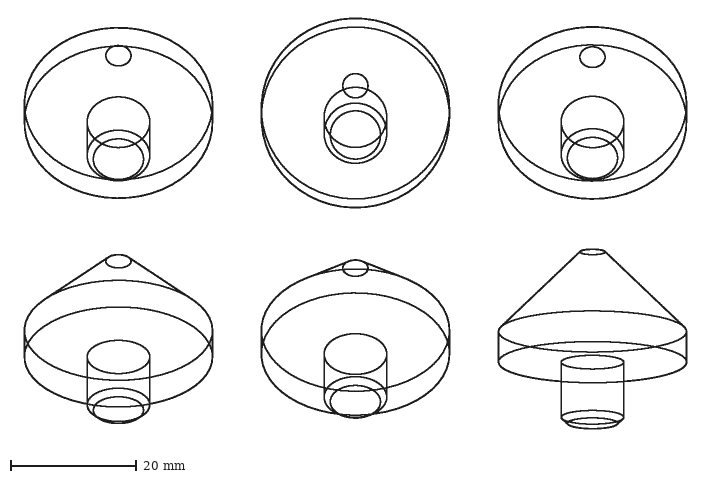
import cadquery as cq

disc_diameter = 30.0
disc_thickness = 5.0
cone_height = 13.0
pin_diameter = 10.0
pin_length = 10.0
pin_chamfer = 1.0

disc_radius = disc_diameter / 2
tip_radius = disc_radius - cone_height


def make_head():
    """Disc with a truncated cone on top; the disc underside lies at Z = 0."""
    tip_z = disc_thickness + cone_height
    half_profile = (
        cq.Workplane("XZ")
        .moveTo(0, 0)
        .lineTo(disc_radius, 0)
        .lineTo(disc_radius, disc_thickness)
        .lineTo(tip_radius, tip_z)
        .lineTo(0, tip_z)
        .close()
    )
    return half_profile.revolve(360, (0, 0, 0), (0, 1, 0))


def make_pin():
    """Locating pin below the disc, chamfered at its free end."""
    pin = cq.Workplane("XY").circle(pin_diameter / 2).extrude(-pin_length)
    return pin.faces("<Z").chamfer(pin_chamfer)


result = make_head().union(make_pin())